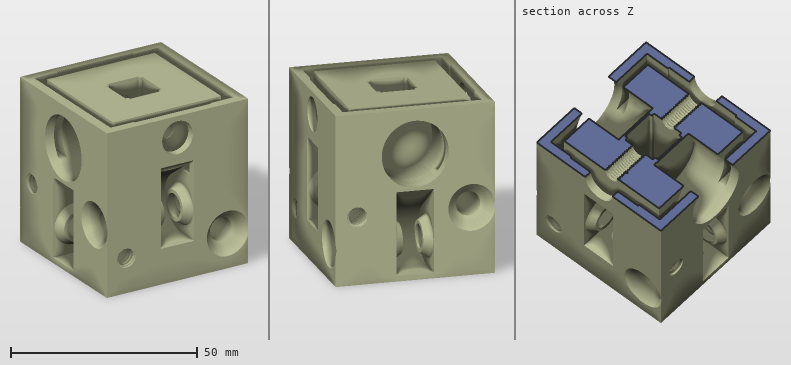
import math
import cadquery as cq

inch = 25.4

side = 44.58
height = 48.26
half = side / 2

core_side = 34.0
groove_x = 39.0
groove_y = 38.9
relief_x = 39.9
relief_width = 24.1
groove_depth = 19.05
groove_floor = height - groove_depth

chute_side = 11.55
chute_corner = 0.92

bore_d = 18.75
bore_depth = 15.875
bore_below_top = 12.7
bore_z = height - bore_below_top

access_d = 9.7
access_below_top = 6.35
access_z = height - access_below_top
cross_major_d = 4.83
cross_minor_d = 4.06
cross_threads_per_inch = 32
cross_pitch = inch / cross_threads_per_inch

axle_inset = 15.875
axle_z_on_x_faces = 19.05
axle_z_on_y_faces = 10.16
slot_width = 10.4
slot_radius = 8.56
slot_rise = 15.05
boss_base_d = 11.9
boss_tip_d = 8.9
boss_gap = 5.65
clearance_d = 6.76
countersink_d = 13.2
countersink_angle = math.radians(82)
countersink_depth = (countersink_d - clearance_d) / 2 / math.tan(countersink_angle / 2)
axle_major_d = 6.35
axle_minor_d = 5.12
axle_threads_per_inch = 20
axle_pitch = inch / axle_threads_per_inch

flank_angle = math.radians(30)
root_flat_ratio = 1 / 8


def centred_box(size_x, size_y, bottom, top):
    """Box centred on the Z axis between two heights."""
    return cq.Workplane("XY").workplane(offset=bottom).rect(size_x, size_y).extrude(top - bottom)


def cylinder_along(plane, origin, diameter, length):
    """Cylinder starting at the origin and growing along the plane normal."""
    return cq.Workplane(plane, origin=origin).circle(diameter / 2).extrude(length)


def thread_cutter(major_d, minor_d, pitch, length):
    """Right-hand threaded hole growing up the Z axis from the origin.

    The level section of a single-start thread is a cam: a major arc (root), a minor arc
    (crest) and two flank arcs. Twisting it one turn per pitch sweeps the whole thread.
    """
    major_r = major_d / 2
    minor_r = minor_d / 2
    root_half = math.pi * root_flat_ratio
    flank_turn = 2 * math.pi * (major_r - minor_r) * math.tan(flank_angle) / pitch
    flank_end = root_half + flank_turn
    flank_mid_r = (major_r + minor_r) / 2
    flank_mid = root_half + flank_turn / 2

    def polar(radius, angle):
        return (radius * math.cos(angle), radius * math.sin(angle))

    section = (
        cq.Workplane("XY")
        .moveTo(*polar(major_r, -root_half))
        .threePointArc((major_r, 0), polar(major_r, root_half))
        .threePointArc(polar(flank_mid_r, flank_mid), polar(minor_r, flank_end))
        .threePointArc((-minor_r, 0), polar(minor_r, -flank_end))
        .threePointArc(polar(flank_mid_r, -flank_mid), polar(major_r, -root_half))
        .close()
    )
    return section.twistExtrude(length, 360 * length / pitch)


def ring_groove():
    outline = centred_box(groove_x, groove_y, groove_floor, height)
    outline = outline.union(centred_box(relief_x, relief_width, groove_floor, height))
    return outline.cut(centred_box(core_side, core_side, groove_floor, height))


def chute():
    arm_width = chute_side - 2 * chute_corner
    along_x = centred_box(chute_side, arm_width, 0, height)
    along_y = centred_box(arm_width, chute_side, 0, height)
    return along_x.union(along_y)


def roller_slot():
    """Slot in the -X face: flat floor, round back and a ramp rising to the face.

    The section is drawn in XZ about the axle, and the conical bosses stay on both walls.
    """
    face_x = axle_inset - half
    to_ramp_end = math.hypot(face_x, slot_rise)
    tangent_angle = math.atan2(slot_rise, face_x) - math.acos(slot_radius / to_ramp_end)
    mid_angle = (tangent_angle - math.pi / 2) / 2

    def on_back(angle):
        return (slot_radius * math.cos(angle), slot_radius * math.sin(angle))

    section = (
        cq.Workplane("XZ", origin=(0, slot_width / 2, 0))
        .moveTo(face_x, -slot_radius)
        .lineTo(0, -slot_radius)
        .threePointArc(on_back(mid_angle), on_back(tangent_angle))
        .lineTo(face_x, slot_rise)
        .close()
    )
    slot = section.extrude(slot_width)
    boss_height = (slot_width - boss_gap) / 2
    for direction in (-1, 1):
        boss = cq.Solid.makeCone(
            boss_base_d / 2, boss_tip_d / 2, boss_height,
            cq.Vector(0, direction * slot_width / 2, 0), cq.Vector(0, -direction, 0),
        )
        slot = slot.cut(cq.Workplane(boss))
    return slot


def plain_axle_hole():
    """Axle hole along Y: countersunk at the +Y face and clear as far as the slot's -Y wall."""
    clearance = cylinder_along("XZ", (0, half, 0), clearance_d, half + slot_width / 2)
    countersink = cq.Workplane(cq.Solid.makeCone(
        countersink_d / 2, clearance_d / 2, countersink_depth,
        cq.Vector(0, half, 0), cq.Vector(0, -1, 0),
    ))
    return [clearance, countersink]


def axle_thread():
    """Threaded end of the axle hole, from the slot wall to the -Y face."""
    thread_start = -slot_width / 2
    tapped = thread_cutter(axle_major_d, axle_minor_d, axle_pitch, half + thread_start)
    tapped = tapped.rotate((0, 0, 0), (1, 0, 0), 90).translate((0, thread_start, 0))
    return tapped


def at_station(cutter, quarter):
    """Place a cutter drawn about the axle at one of the four side faces."""
    axle_z = axle_z_on_x_faces if quarter % 2 == 0 else axle_z_on_y_faces
    return cutter.translate((-axle_inset, 0, axle_z)).rotate((0, 0, 0), (0, 0, 1), 90 * quarter)


def cut_roller_stations(body):
    """Four stations turned about Z; the heights alternate so the axles pass each other."""
    for cutter in [roller_slot()] + plain_axle_hole():
        for quarter in range(4):
            body = body.cut(at_station(cutter, quarter))
    thread = axle_thread()
    threads = [at_station(thread, quarter).val() for quarter in range(4)]
    return body.newObject([body.val().cut(*threads)])


def cut_bores(body):
    bore = cylinder_along("XZ", (0, half, bore_z), bore_d, bore_depth)
    return body.cut(bore).cut(bore.mirror("XZ"))


def cut_cross_screw(body):
    wall = (side - core_side) / 2
    for start in (-half, core_side / 2):
        body = body.cut(cylinder_along("YZ", (start, 0, access_z), access_d, wall))
    tapped = thread_cutter(cross_major_d, cross_minor_d, cross_pitch, core_side)
    tapped = tapped.rotate((0, 0, 0), (0, 1, 0), 90)
    return body.cut(tapped.translate((-core_side / 2, 0, access_z)))


result = centred_box(side, side, 0, height)
result = result.cut(ring_groove()).cut(chute())
result = cut_bores(result)
result = cut_roller_stations(result)
result = cut_cross_screw(result)